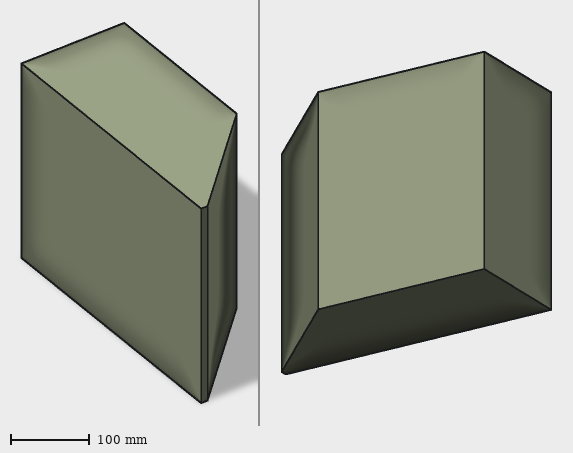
import cadquery as cq

length = 400.0
depth = 160.0
height = 300.0

end_face_depth = 10.0
slope_run = depth - end_face_depth

result = (
    cq.Workplane("XY")
    .moveTo(0, 0)
    .lineTo(length, 0)
    .lineTo(length, end_face_depth)
    .lineTo(length - slope_run, depth)
    .lineTo(0, depth)
    .close()
    .extrude(height)
)